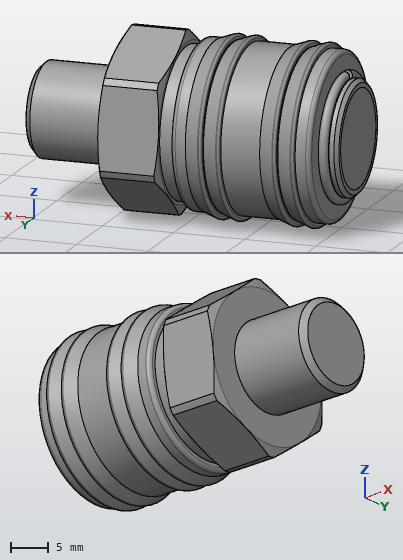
import cadquery as cq
import math

LENGTH = 44.6
X_FRONT = -LENGTH / 2

SLEEVE_START = 2.55
SLEEVE_END = 22.13
HEX_START = 24.1
HEX_END = 32.6

NOSE_DIA = 15.95
NOSE_FACE_DIA = 14.95
NOSE_CHAMFER_LENGTH = 0.55
NECK_DIA = 21.0
SPIGOT_DIA = 13.15
SPIGOT_CHAMFER = 0.85
HEX_SIDES = 6
HEX_FLATS = 22.0
HEX_CORNER_DIA = 24.8
HEX_CHAMFER_LENGTH = 0.45
HEX_TURN = 6.4

PLUG_DIA = 13.6
PLUG_DEPTH = 4.45

RING_MEAN_DIA = 16.65
WIRE_DIA = 1.35
RING_GAP_ANGLE = 7.2
RING_CENTER = SLEEVE_START - WIRE_DIA / 2

SLEEVE_DIA = 23.3
SLEEVE_EDGE_RADIUS = 0.62
RIB_DIA = 24.75
RIB_TIP_RADIUS = 0.35
RIB_SLOPE = 20.0
RIB_PITCH = 2.55
RIB_PAIR_STARTS = (4.65, 15.1)


def cylinder(start, end, diameter):
    """Solid cylinder on the X axis between two distances from the front face."""
    return cq.Workplane("YZ", origin=(X_FRONT + start, 0, 0)).circle(diameter / 2).extrude(end - start)


def profile_plane():
    """Plane with X measured from the front face and Y as the radius."""
    return cq.Workplane("XY", origin=(X_FRONT, 0, 0))


def revolve_profile(profile):
    """Close a profile drawn on the profile plane and turn it around the X axis."""
    return profile.close().revolve(360, (0, 0, 0), (1, 0, 0))


def make_hexagon():
    """Hexagon with its corners turned down and both ends chamfered by a cone."""
    hex_length = HEX_END - HEX_START
    hex_point_dia = HEX_FLATS / math.cos(math.pi / HEX_SIDES)
    prism = (
        cq.Workplane("YZ", origin=(X_FRONT + HEX_START, 0, 0))
        .polygon(HEX_SIDES, hex_point_dia)
        .extrude(hex_length)
        .rotate((0, 0, 0), (1, 0, 0), 90 + HEX_TURN)
    )
    turned_blank = revolve_profile(
        profile_plane()
        .moveTo(HEX_START, 0)
        .lineTo(HEX_START, HEX_FLATS / 2)
        .lineTo(HEX_START + HEX_CHAMFER_LENGTH, HEX_CORNER_DIA / 2)
        .lineTo(HEX_END - HEX_CHAMFER_LENGTH, HEX_CORNER_DIA / 2)
        .lineTo(HEX_END, HEX_FLATS / 2)
        .lineTo(HEX_END, 0)
    )
    return prism.intersect(turned_blank)


def make_nose():
    """Nose with a front chamfer and the groove that holds the snap ring."""
    groove_start = RING_CENTER - WIRE_DIA / 2
    groove_floor = (RING_MEAN_DIA - WIRE_DIA) / 2
    return revolve_profile(
        profile_plane()
        .moveTo(0, 0)
        .lineTo(0, NOSE_FACE_DIA / 2)
        .lineTo(NOSE_CHAMFER_LENGTH, NOSE_DIA / 2)
        .lineTo(groove_start, NOSE_DIA / 2)
        .lineTo(groove_start, groove_floor)
        .lineTo(SLEEVE_START, groove_floor)
        .lineTo(SLEEVE_START, NOSE_DIA / 2)
        .lineTo(SLEEVE_END, NOSE_DIA / 2)
        .lineTo(SLEEVE_END, 0)
    )


def make_core():
    """One-piece core, hollowed at the front to take the plug."""
    neck = cylinder(SLEEVE_END, HEX_START, NECK_DIA)
    spigot = cylinder(HEX_END, LENGTH, SPIGOT_DIA).faces(">X").chamfer(SPIGOT_CHAMFER)
    plug_hole = cylinder(0, PLUG_DEPTH, PLUG_DIA)
    return make_nose().union(neck).union(make_hexagon()).union(spigot).cut(plug_hole)


def make_plug():
    """Disc that fills the hole in the nose flush with its face."""
    return cylinder(0, PLUG_DEPTH, PLUG_DIA)


def make_snap_ring():
    """Round wire ring; one end lies at +Z and the gap opens from there toward -Y."""
    return (
        cq.Workplane("XZ", origin=(X_FRONT + RING_CENTER, 0, RING_MEAN_DIA / 2))
        .circle(WIRE_DIA / 2)
        .revolve(360 - RING_GAP_ANGLE, (0, -RING_MEAN_DIA / 2, 0), (-1, -RING_MEAN_DIA / 2, 0))
    )


def make_rib(start):
    """Ring with a square front flank, a rounded tip and a sloping rear flank."""
    slope = math.radians(RIB_SLOPE)
    tip_radius = RIB_DIA / 2
    tip_x = start + RIB_TIP_RADIUS
    tip_center_radius = tip_radius - RIB_TIP_RADIUS
    flank_x = tip_x + RIB_TIP_RADIUS * math.sin(slope)
    flank_radius = tip_center_radius + RIB_TIP_RADIUS * math.cos(slope)
    floor_radius = SLEEVE_DIA / 2
    rib_end = flank_x + (flank_radius - floor_radius) / math.tan(slope)
    return revolve_profile(
        profile_plane()
        .moveTo(start, NOSE_DIA / 2)
        .lineTo(start, tip_center_radius)
        .radiusArc((tip_x, tip_radius), RIB_TIP_RADIUS)
        .radiusArc((flank_x, flank_radius), RIB_TIP_RADIUS)
        .lineTo(rib_end, floor_radius)
        .lineTo(rib_end, NOSE_DIA / 2)
    )


def make_sleeve():
    """Grip sleeve bored to fit over the nose."""
    sleeve = cylinder(SLEEVE_START, SLEEVE_END, SLEEVE_DIA).edges().fillet(SLEEVE_EDGE_RADIUS)
    sleeve = sleeve.cut(cylinder(SLEEVE_START, SLEEVE_END, NOSE_DIA))
    for pair_start in RIB_PAIR_STARTS:
        for rib_start in (pair_start, pair_start + RIB_PITCH):
            sleeve = sleeve.union(make_rib(rib_start))
    return sleeve


core = make_core()
plug = make_plug()
snap_ring = make_snap_ring()
sleeve = make_sleeve()

bodies = (core, plug, snap_ring, sleeve)
result = cq.Compound.makeCompound([body.solids().val() for body in bodies])